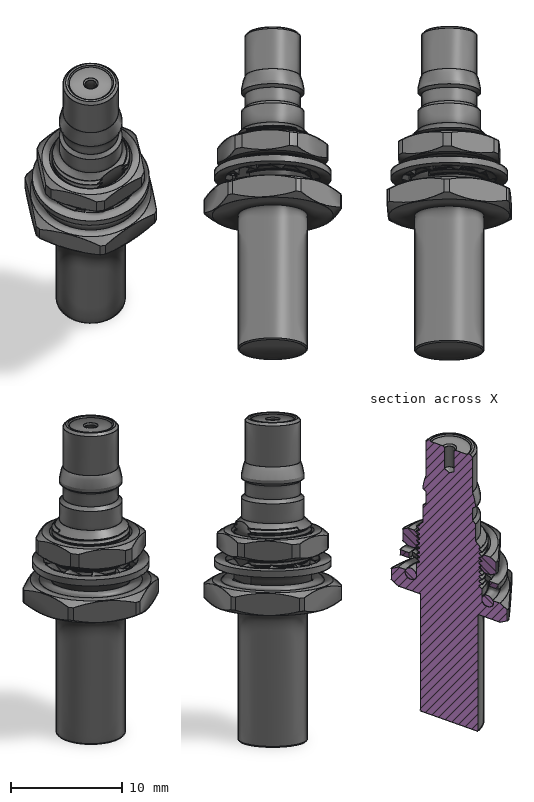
import cadquery as cq
import math

TOTAL_LENGTH = 29.7

TAIL_RADIUS = 3.12
TAIL_CHAMFER = 0.12

FLANGE_BOTTOM = 12.65
FLANGE_TOP = 14.75
FLANGE_ACROSS_FLATS = 11.0
FLANGE_CORNER_RADIUS = 6.2
FLANGE_FACE_RADIUS = 5.44

PLUG_RADIUS = 2.5
PLUG_CHAMFER = 0.25
SNAP_RADIUS = 2.82
SNAP_TOP = 25.7
SNAP_CREST_TOP = 24.47
SNAP_CREST_BOTTOM = 24.18
SNAP_BOTTOM = 23.95
SNAP_BULGE = 0.05
SHOULDER_TOP = 22.7
SHOULDER_BOTTOM = 20.55

THREAD_RADIUS = 3.5
THREAD_DEPTH = 0.3
THREAD_PITCH = 0.5
THREAD_START = 15.7
THREAD_TURNS = 8.8
THREAD_LAND = 0.05
FLAT_DISTANCE = 3.0

FACE_RECESS_RADIUS = 1.93
FACE_RECESS_DEPTH = 0.12
SOCKET_RADIUS = 0.5
SOCKET_MOUTH_RADIUS = 0.65
SOCKET_DEPTH = 2.38
SOCKET_TIP_HALF_ANGLE = 59.0

NUT_BOTTOM = 17.4
NUT_TOP = 19.35
NUT_ACROSS_FLATS = 9.0
NUT_CORNER_RADIUS = 5.0
NUT_FACE_RADIUS = 4.4
NUT_MOUTH_RADIUS = 3.7

HEX_BEVEL_ANGLE = 30.0

WASHER_BOTTOM = 16.13
WASHER_THICKNESS = 0.6
WASHER_RADIUS = 5.25
WASHER_RING_INNER_RADIUS = 4.25
TOOTH_COUNT = 10
TOOTH_SPAN_ANGLE = 24.0
TOOTH_TIP_DISTANCE = 3.53
TOOTH_ROOT_DISTANCE = 4.3
TOOTH_THICKNESS = 0.53
TOOTH_TWIST = -20.0

ORING_SECTION_RADIUS = 0.6
ORING_CENTER_RADIUS = THREAD_RADIUS + ORING_SECTION_RADIUS
ORING_CENTER_HEIGHT = 14.52


def revolve_profile(profile):
    """Revolve a closed (radius, height) outline drawn on XZ around the Z axis."""
    return profile.close().revolve(360, (0, 0, 0), (0, 1, 0))


def beveled_hexagon(bottom, top, across_flats, corner_radius, face_radius):
    """Hexagon with flats on +X and -X, trimmed by a cylinder bevelled at both ends."""
    sharp_diameter = across_flats / math.cos(math.pi / 6)
    prism = (
        cq.Workplane("XY", origin=(0, 0, bottom))
        .polygon(6, sharp_diameter)
        .extrude(top - bottom)
        .rotate((0, 0, 0), (0, 0, 1), 30)
    )
    drop = (corner_radius - face_radius) * math.tan(math.radians(HEX_BEVEL_ANGLE))
    envelope = revolve_profile(
        cq.Workplane("XZ")
        .moveTo(0, bottom)
        .lineTo(face_radius, bottom)
        .lineTo(corner_radius, bottom + drop)
        .lineTo(corner_radius, top - drop)
        .lineTo(face_radius, top)
        .lineTo(0, top)
    )
    return prism.intersect(envelope)


def thread_groove():
    """Right-handed helical V groove that starts on the -X side."""
    clearance = 0.03
    root_radius = THREAD_RADIUS - THREAD_DEPTH
    mouth_radius = THREAD_RADIUS + clearance
    root_half = THREAD_LAND / 2
    crest_half = (THREAD_PITCH - THREAD_LAND) / 2
    flank_slope = (crest_half - root_half) / THREAD_DEPTH
    mouth_half = crest_half + flank_slope * clearance
    path = cq.Wire.makeHelix(THREAD_PITCH, THREAD_TURNS * THREAD_PITCH, THREAD_RADIUS)
    groove = (
        cq.Workplane("XZ")
        .polyline([
            (root_radius, -root_half),
            (mouth_radius, -mouth_half),
            (mouth_radius, mouth_half),
            (root_radius, root_half),
        ])
        .close()
        .sweep(cq.Workplane(path), isFrenet=True)
    )
    return groove.rotate((0, 0, 0), (0, 0, 1), 180).translate((0, 0, THREAD_START))


def threaded_rod(bottom, top):
    """Cylinder carrying the male thread."""
    rod = cq.Workplane("XY", origin=(0, 0, bottom)).circle(THREAD_RADIUS).extrude(top - bottom)
    return rod.cut(thread_groove())


def tail():
    """Long plain cylinder below the flange, chamfered at its free end."""
    cylinder = cq.Workplane("XY").circle(TAIL_RADIUS).extrude(FLANGE_BOTTOM)
    return cylinder.faces("<Z").chamfer(TAIL_CHAMFER)


def threaded_neck():
    """Threaded length with a 45 degree lead cone on top and a keying flat on +X."""
    cone_bottom = SHOULDER_BOTTOM - (THREAD_RADIUS - SNAP_RADIUS)
    envelope = revolve_profile(
        cq.Workplane("XZ")
        .moveTo(0, FLANGE_BOTTOM)
        .lineTo(THREAD_RADIUS, FLANGE_BOTTOM)
        .lineTo(THREAD_RADIUS, cone_bottom)
        .lineTo(SNAP_RADIUS, SHOULDER_BOTTOM)
        .lineTo(0, SHOULDER_BOTTOM)
    )
    return threaded_rod(FLANGE_BOTTOM, SHOULDER_BOTTOM).intersect(envelope).cut(keying_flat())


def nose():
    """Stepped nose above the neck, with the snap ridge."""
    shoulder_edge = SHOULDER_TOP - (SNAP_RADIUS - PLUG_RADIUS)
    slope_middle = (
        (PLUG_RADIUS + SNAP_RADIUS) / 2 + SNAP_BULGE,
        (SNAP_TOP + SNAP_CREST_TOP) / 2,
    )
    return revolve_profile(
        cq.Workplane("XZ")
        .moveTo(0, SHOULDER_BOTTOM)
        .lineTo(SNAP_RADIUS, SHOULDER_BOTTOM)
        .lineTo(SNAP_RADIUS, shoulder_edge)
        .lineTo(PLUG_RADIUS, SHOULDER_TOP)
        .lineTo(PLUG_RADIUS, SNAP_BOTTOM)
        .lineTo(SNAP_RADIUS, SNAP_CREST_BOTTOM)
        .lineTo(SNAP_RADIUS, SNAP_CREST_TOP)
        .threePointArc(slope_middle, (PLUG_RADIUS, SNAP_TOP))
        .lineTo(PLUG_RADIUS, TOTAL_LENGTH - PLUG_CHAMFER)
        .lineTo(PLUG_RADIUS - PLUG_CHAMFER, TOTAL_LENGTH)
        .lineTo(0, TOTAL_LENGTH)
    )


def keying_flat():
    """Block that removes the +X side of the threaded neck, above the flange."""
    height = SHOULDER_BOTTOM - FLANGE_TOP
    width = 2 * THREAD_RADIUS
    return (
        cq.Workplane("XY", origin=(FLAT_DISTANCE, 0, FLANGE_TOP))
        .rect(width, width)
        .extrude(height)
        .translate((width / 2, 0, 0))
    )


def nose_face_cut():
    """Shallow bevelled recess in the nose face with the contact socket at its centre."""
    floor = TOTAL_LENGTH - FACE_RECESS_DEPTH
    mouth_depth = SOCKET_MOUTH_RADIUS - SOCKET_RADIUS
    tip_depth = SOCKET_RADIUS / math.tan(math.radians(SOCKET_TIP_HALF_ANGLE))
    return revolve_profile(
        cq.Workplane("XZ")
        .moveTo(0, TOTAL_LENGTH)
        .lineTo(FACE_RECESS_RADIUS + FACE_RECESS_DEPTH, TOTAL_LENGTH)
        .lineTo(FACE_RECESS_RADIUS, floor)
        .lineTo(SOCKET_MOUTH_RADIUS, floor)
        .lineTo(SOCKET_RADIUS, floor - mouth_depth)
        .lineTo(SOCKET_RADIUS, floor - SOCKET_DEPTH)
        .lineTo(0, floor - SOCKET_DEPTH - tip_depth)
    )


def make_o_ring():
    """Round-section sealing ring, more than half sunk into the flange face."""
    return (
        cq.Workplane("XZ")
        .center(ORING_CENTER_RADIUS, ORING_CENTER_HEIGHT)
        .circle(ORING_SECTION_RADIUS)
        .revolve(360, (-ORING_CENTER_RADIUS, 0, 0), (-ORING_CENTER_RADIUS, 1, 0))
    )


def make_connector_body(o_ring):
    """Tail, hexagonal flange, threaded neck and nose as one solid."""
    flange = beveled_hexagon(
        FLANGE_BOTTOM, FLANGE_TOP, FLANGE_ACROSS_FLATS, FLANGE_CORNER_RADIUS, FLANGE_FACE_RADIUS
    )
    body = threaded_neck().union(flange).union(tail()).union(nose())
    return body.cut(o_ring).cut(nose_face_cut())


def make_nut():
    """Hexagon nut whose inner thread matches the thread on the body."""
    blank = beveled_hexagon(
        NUT_BOTTOM, NUT_TOP, NUT_ACROSS_FLATS, NUT_CORNER_RADIUS, NUT_FACE_RADIUS
    )
    nut = blank.cut(threaded_rod(FLANGE_BOTTOM, SHOULDER_BOTTOM))
    for face_height, inward in ((NUT_BOTTOM, 1), (NUT_TOP, -1)):
        countersink = revolve_profile(
            cq.Workplane("XZ")
            .moveTo(0, face_height)
            .lineTo(NUT_MOUTH_RADIUS, face_height)
            .lineTo(0, face_height + inward * NUT_MOUTH_RADIUS)
        )
        nut = nut.cut(countersink)
    return nut


def washer_tooth():
    """One inward tooth on the +X side, twisted more and more toward its tip."""
    half_angle = math.radians(TOOTH_SPAN_ANGLE / 2)
    root_width = 2 * TOOTH_ROOT_DISTANCE * math.tan(half_angle)
    tip_width = 2 * TOOTH_TIP_DISTANCE * math.tan(half_angle)
    middle = WASHER_BOTTOM + WASHER_THICKNESS / 2
    return (
        cq.Workplane("YZ", origin=(TOOTH_TIP_DISTANCE, 0, middle))
        .transformed(rotate=(0, 0, TOOTH_TWIST))
        .rect(tip_width, TOOTH_THICKNESS)
        .workplane(offset=TOOTH_ROOT_DISTANCE - TOOTH_TIP_DISTANCE)
        .transformed(rotate=(0, 0, -TOOTH_TWIST))
        .rect(root_width, TOOTH_THICKNESS)
        .loft(ruled=True)
    )


def make_lock_washer():
    """Flat ring with twisted locking teeth on its inner edge."""
    washer = (
        cq.Workplane("XY", origin=(0, 0, WASHER_BOTTOM))
        .circle(WASHER_RADIUS)
        .circle(WASHER_RING_INNER_RADIUS)
        .extrude(WASHER_THICKNESS)
    )
    tooth = washer_tooth()
    for index in range(TOOTH_COUNT):
        angle = index * 360 / TOOTH_COUNT
        washer = washer.union(tooth.rotate((0, 0, 0), (0, 0, 1), angle))
    return washer


o_ring = make_o_ring()
connector_body = make_connector_body(o_ring)
nut = make_nut()
lock_washer = make_lock_washer()

result = cq.Compound.makeCompound([
    connector_body.val(),
    nut.val(),
    lock_washer.val(),
    o_ring.val(),
])